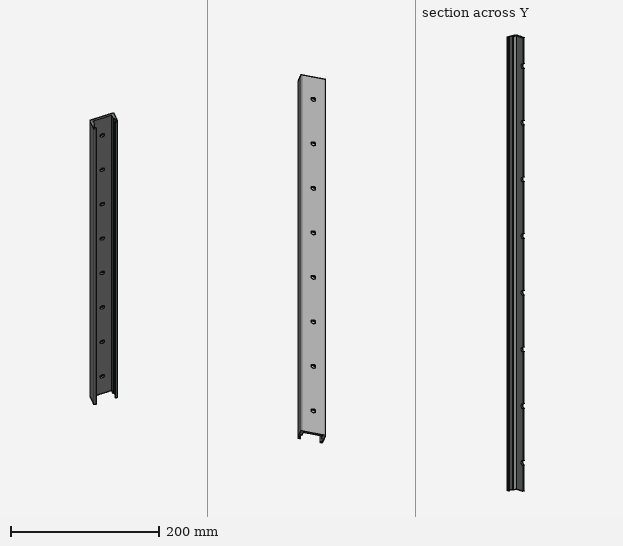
import cadquery as cq

depth = 16.5
width = 35.0
length = 640.0
half_width = width / 2

web_thickness = 2.9
web_corner_radius = 1.3
tip_corner_radius = 2.0

shoulder_thickness = 4.2
shoulder_end = 7.8
flange_thickness = 2.9
flange_taper_start = 8.8
neck_thickness = 1.6
neck_position = 13.4
lip_thickness = 3.8
lip_start = 14.5

hole_diameter = 6.6
hole_count = 8
hole_pitch = length / hole_count


def half_section():
    """Half of the C section, from the mid plane to the +Y flange."""
    shoulder_y = half_width - shoulder_thickness
    flange_y = half_width - flange_thickness
    neck_y = half_width - neck_thickness
    lip_y = half_width - lip_thickness
    return (
        cq.Workplane("XY")
        .lineTo(0, half_width - web_corner_radius)
        .radiusArc((web_corner_radius, half_width), web_corner_radius)
        .lineTo(depth - tip_corner_radius, half_width)
        .radiusArc((depth, half_width - tip_corner_radius), tip_corner_radius)
        .lineTo(depth, lip_y)
        .lineTo(lip_start, lip_y)
        .lineTo(neck_position, neck_y)
        .lineTo(flange_taper_start, flange_y)
        .lineTo(shoulder_end, shoulder_y)
        .lineTo(web_thickness, shoulder_y)
        .lineTo(web_thickness, 0)
        .close()
    )


def rail_body():
    """Full C-shaped rail, standing on the XY plane."""
    half_body = half_section().extrude(length)
    return half_body.union(half_body.mirror("XZ")).clean()


def mounting_holes():
    """Cylinders through the web, half a pitch in from each end of the rail."""
    holes = cq.Workplane("YZ")
    for index in range(hole_count):
        height = hole_pitch * (index + 0.5)
        holes = holes.moveTo(0, height).circle(hole_diameter / 2)
    return holes.extrude(web_thickness)


result = rail_body().cut(mounting_holes())